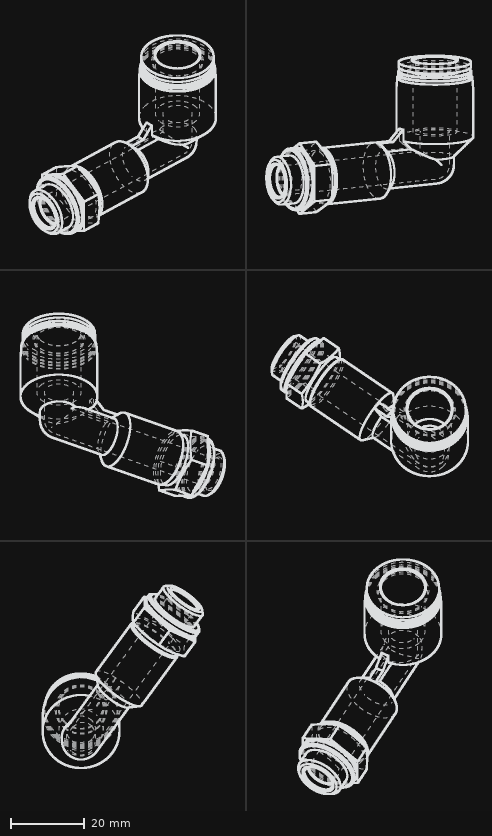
import cadquery as cq
import math


pipe_d = 10.5
bore_d = 8.0

socket_d = 21.0
socket_rim_d = 20.65
cone_top_z = 7.6
cone_bottom_z = cone_top_z - (socket_d - pipe_d) / 2
taper_start_z = 21.1
socket_top_z = 24.05
seat_z = 9.05

ring_d = 20.0
ring_height = 0.95
ring_count = 2
ring_bevel = 0.2
collar_top_z = socket_top_z + ring_count * ring_height

button_d = 19.8
button_neck_d = 13.5
button_flare = 0.3
button_bottom_z = 27.05
button_edge_z = 28.4
top_z = 29.05
mouth_d = 12.0
mouth_chamfer = 0.3

arm_d = 15.5
arm_neck_d = 14.5
arm_cone_end = 18.05
arm_cone_start = arm_cone_end - (arm_d - pipe_d) / 2
arm_step_start = 34.9
arm_step_end = 35.3
hex_start = 36.8
hex_end = 42.35
hex_flats = 17.0
hex_bevel = 0.35
flange_d = 17.0
flange_lip_d = 16.0
groove_start = 42.65
groove_end = 43.1
flange_end = 44.75
lip_start = 44.35
spigot_d = 13.15
spigot_chamfer = 0.8
overall_length = 60.0
arm_end = overall_length - socket_d / 2
outlet_d = 8.75
outlet_depth = 2.4
outlet_chamfer = 0.4

rib_width = 2.1
rib_top_z = cone_top_z
rib_slope_height = 3.2
rib_slope_end = socket_d / 2 + rib_slope_height


def turned(profile):
    """Revolve (radius, height) points, closed along the Z axis, about that axis."""
    points = [(0, profile[0][1])] + profile + [(0, profile[-1][1])]
    return cq.Workplane("XZ").polyline(points).close().revolve(360, (0, 0), (0, 1))


def along_arm(shape):
    """Turn a shape built along +Z so that it points along -Y."""
    return shape.rotate((0, 0, 0), (1, 0, 0), 90)


def make_socket():
    profile = [
        (pipe_d / 2, 0),
        (pipe_d / 2, cone_bottom_z),
        (socket_d / 2, cone_top_z),
        (socket_d / 2, taper_start_z),
        (socket_rim_d / 2, socket_top_z),
    ]
    for ring in range(ring_count):
        ring_bottom = socket_top_z + ring * ring_height
        ring_top = ring_bottom + ring_height
        profile += [
            (ring_d / 2, ring_bottom),
            (ring_d / 2, ring_top - ring_bevel),
            (ring_d / 2 - ring_bevel, ring_top),
        ]
    profile += [
        (button_neck_d / 2, collar_top_z),
        (button_neck_d / 2, button_bottom_z - button_flare),
        (button_neck_d / 2 + button_flare, button_bottom_z),
        (button_d / 2, button_bottom_z),
        (button_d / 2, button_edge_z),
        (mouth_d / 2 + mouth_chamfer, top_z),
    ]
    return turned(profile)


def make_arm():
    profile = [
        (pipe_d / 2, 0),
        (pipe_d / 2, arm_cone_start),
        (arm_d / 2, arm_cone_end),
        (arm_d / 2, arm_step_start),
        (arm_neck_d / 2, arm_step_end),
        (arm_neck_d / 2, hex_end),
        (flange_d / 2, hex_end),
        (flange_d / 2, groove_start),
        (flange_lip_d / 2, groove_start),
        (flange_lip_d / 2, groove_end),
        (flange_d / 2, groove_end),
        (flange_d / 2, lip_start),
        (flange_lip_d / 2, lip_start),
        (flange_lip_d / 2, flange_end),
        (spigot_d / 2, flange_end),
        (spigot_d / 2, arm_end - spigot_chamfer),
        (spigot_d / 2 - spigot_chamfer, arm_end),
    ]
    return along_arm(turned(profile))


def make_hex():
    """Hexagon with corners up and down, bevelled on the side facing the elbow."""
    corner_d = hex_flats / math.cos(math.pi / 6)
    nut = (
        cq.Workplane("XY", origin=(0, 0, hex_start))
        .polygon(6, corner_d)
        .extrude(hex_end - hex_start)
        .rotate((0, 0, 0), (0, 0, 1), 30)
    )
    bevel_envelope = turned([
        (hex_flats / 2, hex_start),
        (corner_d / 2, hex_start + hex_bevel),
        (corner_d / 2, hex_end),
    ])
    return along_arm(nut.intersect(bevel_envelope))


def make_rib():
    outline = [
        (0, 0),
        (0, rib_top_z + rib_slope_height),
        (-socket_d / 2, rib_top_z + rib_slope_height),
        (-rib_slope_end, rib_top_z),
        (-arm_cone_end, rib_top_z),
        (-arm_cone_end, 0),
    ]
    return cq.Workplane("YZ").polyline(outline).close().extrude(rib_width / 2, both=True)


def make_passage():
    """Tube socket and outlet joined by a bore with a spherical corner."""
    inlet = turned([
        (bore_d / 2, 0),
        (bore_d / 2, seat_z),
        (mouth_d / 2, seat_z),
        (mouth_d / 2, top_z - mouth_chamfer),
        (mouth_d / 2 + mouth_chamfer, top_z),
    ])
    outlet = turned([
        (bore_d / 2, 0),
        (bore_d / 2, arm_end - outlet_depth),
        (outlet_d / 2, arm_end - outlet_depth),
        (outlet_d / 2, arm_end - outlet_chamfer),
        (outlet_d / 2 + outlet_chamfer, arm_end),
    ])
    corner = cq.Workplane("XY").sphere(bore_d / 2)
    return inlet.union(along_arm(outlet)).union(corner)


elbow_corner = cq.Workplane("XY").sphere(pipe_d / 2)
body = make_socket().union(make_arm()).union(elbow_corner).union(make_hex()).union(make_rib())
result = body.cut(make_passage())